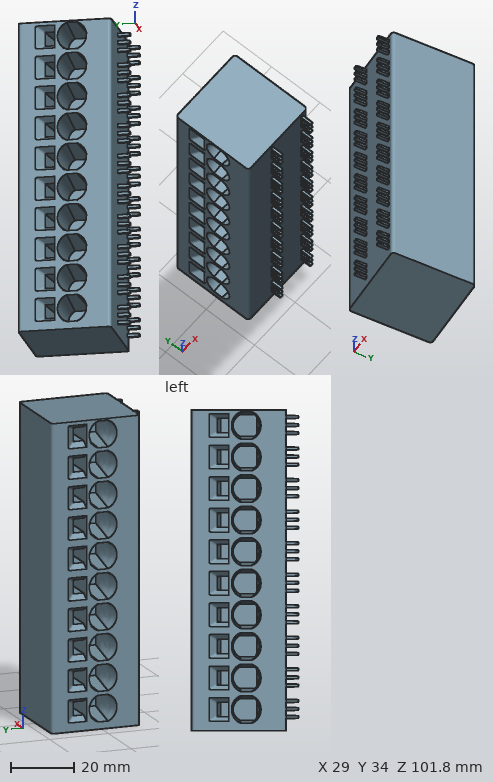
import cadquery as cq
import math

width = 29.0
depth = 30.0
height = 101.8
corner_radius = 1.1

pole_count = 10
first_pole_below_top = 5.0
last_pole_above_bottom = 6.8
pole_pitch = (height - first_pole_below_top - last_pole_above_bottom) / (pole_count - 1)

pin_length = 4.0
pin_straight_length = 2.3
pin_width = 1.0
pin_height = 1.0
pin_root = 0.5
pin_tip_radius = 0.44
pin_spacing = 2.5
pin_rows = (-1, 0, 1)
pin_columns_from_left = (11.6, 26.4)
pin_rise_above_pole = 0.15

entry_y = 12.6
entry_radius = 4.7
entry_half_height = 4.4
entry_depth = 15.3
floor_y = 13.0
floor_radius = 3.8
floor_half_height = 3.4
floor_flat_y = 9.3

funnel_near_y = 18.2
funnel_width = 6.2
funnel_height = 7.5
funnel_depth = 2.6
funnel_edge_radius = 0.8
shaft_width = 3.6
shaft_height = 4.6
shaft_depth = 12.2
shaft_floor_width = 2.4

face_x = -width / 2


def face_plane(x):
    """Plane parallel to the -X face: local x is +Y, local y is +Z, normal is +X."""
    return cq.Workplane(cq.Plane(origin=(x, 0, 0), xDir=(0, 1, 0), normal=(1, 0, 0)))


def half_chord(radius, distance):
    return math.sqrt(radius ** 2 - distance ** 2)


def wire_entry():
    rim_chord = half_chord(entry_radius, entry_half_height)
    floor_chord = half_chord(floor_radius, floor_half_height)
    rim = (
        face_plane(face_x)
        .moveTo(entry_y - rim_chord, entry_half_height)
        .lineTo(entry_y + rim_chord, entry_half_height)
        .threePointArc((entry_y + entry_radius, 0), (entry_y + rim_chord, -entry_half_height))
        .lineTo(entry_y - rim_chord, -entry_half_height)
        .threePointArc((entry_y - entry_radius, 0), (entry_y - rim_chord, entry_half_height))
        .close()
    )
    floor = (
        face_plane(face_x + entry_depth)
        .moveTo(floor_flat_y, floor_half_height)
        .lineTo(floor_y + floor_chord, floor_half_height)
        .threePointArc((floor_y + floor_radius, 0), (floor_y + floor_chord, -floor_half_height))
        .lineTo(floor_flat_y, -floor_half_height)
        .close()
    )
    return cq.Workplane(cq.Solid.makeLoft([rim.val(), floor.val()], True))


def test_opening():
    far_edge_inset = funnel_width - shaft_width
    funnel = (
        face_plane(face_x)
        .center(funnel_near_y + funnel_width / 2, 0)
        .rect(funnel_width, funnel_height)
        .workplane(offset=funnel_depth)
        .center(-far_edge_inset / 2, 0)
        .rect(shaft_width, shaft_height)
        .loft(ruled=True)
    )
    slanted_corners = cq.selectors.BoxSelector(
        (face_x, funnel_near_y + shaft_width, -funnel_height),
        (face_x + funnel_depth, funnel_near_y + funnel_width, funnel_height),
    )
    funnel = funnel.edges(slanted_corners - cq.selectors.StringSyntaxSelector("|Y or |Z"))
    funnel = funnel.fillet(funnel_edge_radius)

    shaft_start_x = face_x + funnel_depth
    shaft_floor_x = face_x + shaft_depth
    shaft = (
        cq.Workplane("XY")
        .polyline([
            (shaft_start_x, funnel_near_y),
            (shaft_floor_x, funnel_near_y),
            (shaft_floor_x, funnel_near_y + shaft_floor_width),
            (shaft_start_x, funnel_near_y + shaft_width),
        ])
        .close()
        .extrude(shaft_height / 2, both=True)
    )
    return funnel.union(shaft)


def pin(x, z):
    """Pin pointing along -Y whose upper and lower sides taper to a round tip."""
    half_height = pin_height / 2
    tip_start = pin_length - pin_tip_radius
    return (
        cq.Workplane("YZ", origin=(x, 0, z))
        .moveTo(pin_root, half_height)
        .lineTo(pin_root, -half_height)
        .lineTo(-pin_straight_length, -half_height)
        .lineTo(-tip_start, -pin_tip_radius)
        .threePointArc((-pin_length, 0), (-tip_start, pin_tip_radius))
        .lineTo(-pin_straight_length, half_height)
        .close()
        .extrude(pin_width / 2, both=True)
    )


housing = (
    cq.Workplane("XY")
    .rect(width, depth)
    .extrude(height)
    .translate((0, depth / 2, 0))
    .edges("|Z")
    .fillet(corner_radius)
)

pole_opening = wire_entry().union(test_opening())
openings = cq.Workplane("XY")
pins = cq.Workplane("XY")
for pole in range(pole_count):
    pole_z = height - first_pole_below_top - pole * pole_pitch
    openings.add(pole_opening.translate((0, 0, pole_z)).vals())
    for column_from_left in pin_columns_from_left:
        for row in pin_rows:
            pin_z = pole_z + pin_rise_above_pole + row * pin_spacing
            pins.add(pin(face_x + column_from_left, pin_z).vals())

result = cq.Workplane(housing.val().cut(*openings.vals()).fuse(*pins.vals()))